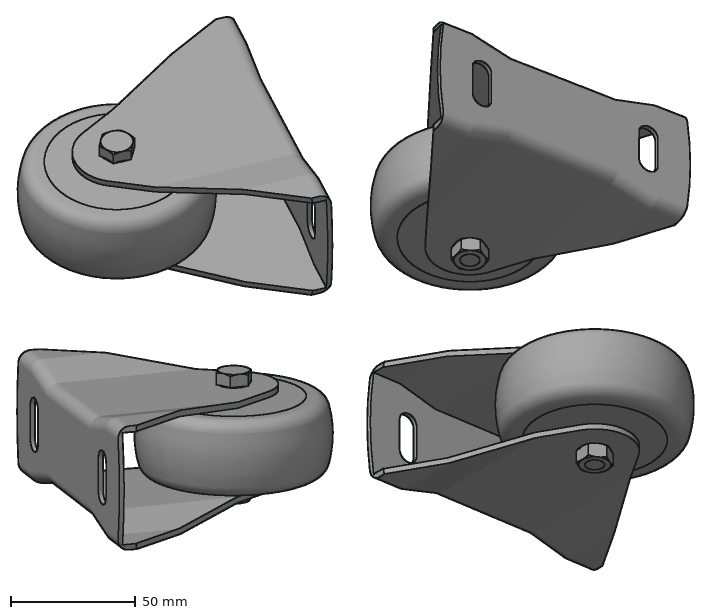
import cadquery as cq
import math


plate_back = 70.8
plate_thickness = 2.0
plate_half_length = 59.8
plate_corner_half_length = 57.7
leg_thickness = 2.5
arm_height = 21.0
wing_height = 26.0
arm_bend_x = 25.0
wing_bend_x = 43.7
leg_bend_radius = 4.3
plate_bend_radius = 5.0
leg_tip_radius = 18.0
leg_taper_angle = 30.5
leg_shoulder_y = 62.8

slot_width = 9.0
slot_length = 22.5
slot_outer_x = 44.3

wheel_radius = 40.0
tread_arc_radius = 45.5
wheel_width = 32.0
tyre_shoulder_radius = 6.0
hub_radius = 29.2

shank_diameter = 8.0
hex_across_flats = 13.0
hex_chamfer_angle = 30
washer_face_diameter = 12.5
washer_face_height = 0.4
bolt_head_height = 5.7
nut_height = 6.3

hex_across_corners = hex_across_flats / math.cos(math.pi / 6)
bolt_top = arm_height + bolt_head_height
nut_bottom = -arm_height - nut_height

past_all = 4 * plate_half_length


def bent_profile(offset):
    """Right half of the leg surface that lies `offset` inside the outer one, from arm to wing end."""
    bend_angle = math.atan2(wing_height - arm_height, wing_bend_x - arm_bend_x)
    bend_shift = offset * math.tan(bend_angle / 2)
    return [
        (arm_bend_x + bend_shift, arm_height - offset),
        (wing_bend_x + bend_shift, wing_height - offset),
        (plate_half_length, wing_height - offset),
    ]


def mirrored_x(points):
    """The same points on the other side of X = 0, in reverse order."""
    return [(-x, z) for x, z in reversed(points)]


def bent_prism(offset, back):
    """Solid between the two legs' surfaces at `offset`, from the leg tips to Y = back."""
    upper = bent_profile(offset)
    upper = mirrored_x(upper) + upper
    lower = [(x, -z) for x, z in reversed(upper)]
    return (
        cq.Workplane("XZ", origin=(0, back, 0))
        .polyline(upper + lower)
        .close()
        .extrude(back + leg_tip_radius)
    )


def round_leg_bends(prism, bend_x):
    """Round the four edges along Y at X = +-bend_x."""
    reach = 1.2
    for side in (-1, 1):
        selector = cq.selectors.BoxSelector(
            (side * bend_x - reach, -past_all, -past_all),
            (side * bend_x + reach, past_all, past_all),
        )
        prism = prism.edges("|Y").edges(selector).fillet(leg_bend_radius)
    return prism


def bracket_outline():
    """Prism along Z with the tapered, round-tipped outline of the legs and the plate behind them."""
    taper = math.radians(leg_taper_angle)
    tangent_x = leg_tip_radius * math.cos(taper)
    tangent_y = -leg_tip_radius * math.sin(taper)
    shoulder_x = tangent_x + (leg_shoulder_y - tangent_y) * math.tan(taper)
    return (
        cq.Workplane("XY", origin=(0, 0, -past_all / 2))
        .moveTo(-tangent_x, tangent_y)
        .threePointArc((0, -leg_tip_radius), (tangent_x, tangent_y))
        .lineTo(shoulder_x, leg_shoulder_y)
        .lineTo(plate_half_length, leg_shoulder_y)
        .lineTo(plate_half_length, plate_back)
        .lineTo(-plate_half_length, plate_back)
        .lineTo(-plate_half_length, leg_shoulder_y)
        .lineTo(-shoulder_x, leg_shoulder_y)
        .close()
        .extrude(past_all)
    )


def bracket_ends():
    """Prism along Y whose two X ends bulge outward in an arc."""
    corner = plate_corner_half_length
    return (
        cq.Workplane("XZ", origin=(0, plate_back, 0))
        .moveTo(-corner, wing_height)
        .lineTo(corner, wing_height)
        .threePointArc((plate_half_length, 0), (corner, -wing_height))
        .lineTo(-corner, -wing_height)
        .threePointArc((-plate_half_length, 0), (-corner, wing_height))
        .close()
        .extrude(past_all)
    )


def plate_slots():
    """Two upright slots through the mounting plate."""
    slot_x = slot_outer_x - slot_width / 2
    return (
        cq.Workplane("XZ", origin=(0, plate_back, 0))
        .pushPoints([(-slot_x, 0), (slot_x, 0)])
        .slot2D(slot_length, slot_width, 90)
        .extrude(plate_thickness)
    )


def axle_cylinder(diameter, bottom, top):
    """Cylinder on the axle between two heights."""
    return cq.Workplane("XY", origin=(0, 0, bottom)).circle(diameter / 2).extrude(top - bottom)


def make_bracket():
    outer = round_leg_bends(bent_prism(0, plate_back), wing_bend_x)
    outer = outer.faces(">Y").edges("not(<X or >X)").fillet(plate_bend_radius)
    inner = round_leg_bends(bent_prism(leg_thickness, plate_back - plate_thickness), arm_bend_x)
    axle_hole = axle_cylinder(shank_diameter, nut_bottom, bolt_top)
    sheet = outer.cut(inner).intersect(bracket_outline()).intersect(bracket_ends())
    return sheet.cut(plate_slots()).cut(axle_hole)


def make_tyre():
    half_width = wheel_width / 2
    tread_center_r = wheel_radius - tread_arc_radius
    shoulder_z = half_width - tyre_shoulder_radius
    tread_angle = math.asin(shoulder_z / (tread_arc_radius - tyre_shoulder_radius))
    shoulder_r = tread_center_r + shoulder_z / math.tan(tread_angle)
    tread_edge = (
        tread_center_r + tread_arc_radius * math.cos(tread_angle),
        tread_arc_radius * math.sin(tread_angle),
    )
    middle_angle = (tread_angle + math.pi / 2) / 2
    shoulder_middle = (
        shoulder_r + tyre_shoulder_radius * math.cos(middle_angle),
        shoulder_z + tyre_shoulder_radius * math.sin(middle_angle),
    )
    return (
        cq.Workplane("XZ")
        .moveTo(hub_radius, -half_width)
        .lineTo(shoulder_r, -half_width)
        .threePointArc((shoulder_middle[0], -shoulder_middle[1]), (tread_edge[0], -tread_edge[1]))
        .threePointArc((wheel_radius, 0), tread_edge)
        .threePointArc(shoulder_middle, (shoulder_r, half_width))
        .lineTo(hub_radius, half_width)
        .close()
        .revolve(360, (0, 0, 0), (0, 1, 0))
    )


def make_hub():
    half_width = wheel_width / 2
    return axle_cylinder(2 * hub_radius, -half_width, half_width).cut(
        axle_cylinder(shank_diameter, -half_width, half_width)
    )


def hexagon(bottom, top):
    """Hexagonal prism on the axle with two corners on the Y axis."""
    return (
        cq.Workplane("XY", origin=(0, 0, bottom))
        .transformed(rotate=(0, 0, 90))
        .polygon(6, hex_across_corners)
        .extrude(top - bottom)
    )


def bevel_corners(hexagon_body, end, outward):
    """Trim the hexagon corners with a cone at height `end`; `outward` is +1 or -1, the way that end faces."""
    flat_radius = hex_across_flats / 2
    corner_radius = hex_across_corners / 2
    bevel = (corner_radius - flat_radius) * math.tan(math.radians(hex_chamfer_angle))
    bevel_start = end - outward * bevel
    far_side = end - outward * past_all
    cone = (
        cq.Workplane("XZ")
        .moveTo(0, far_side)
        .lineTo(corner_radius, far_side)
        .lineTo(corner_radius, bevel_start)
        .lineTo(flat_radius, end)
        .lineTo(0, end)
        .close()
        .revolve(360, (0, 0, 0), (0, 1, 0))
    )
    return hexagon_body.intersect(cone)


def make_bolt():
    head_bottom = arm_height + washer_face_height
    head = bevel_corners(hexagon(head_bottom, bolt_top), bolt_top, 1)
    washer_face = axle_cylinder(washer_face_diameter, arm_height, head_bottom)
    shank = axle_cylinder(shank_diameter, nut_bottom, head_bottom)
    return head.union(washer_face).union(shank)


def make_nut():
    block = bevel_corners(hexagon(nut_bottom, -arm_height), nut_bottom, -1)
    block = bevel_corners(block, -arm_height, 1)
    return block.cut(axle_cylinder(shank_diameter, nut_bottom, -arm_height))


bracket = make_bracket()
tyre = make_tyre()
hub = make_hub()
bolt = make_bolt()
nut = make_nut()

result = cq.Compound.makeCompound([bracket.val(), tyre.val(), hub.val(), bolt.val(), nut.val()])